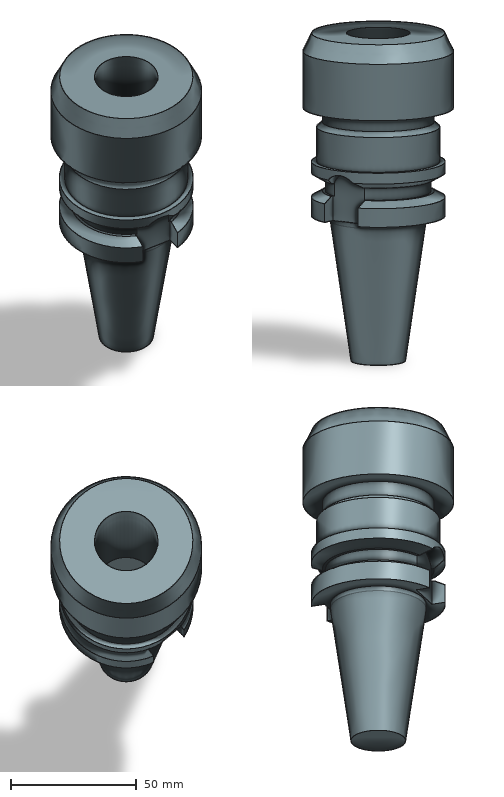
import cadquery as cq

total_height = 132.4
taper_top = 56.7
flange_bottom = 58.7
lower_rim_top = 66.2
groove_bottom = 68.6
groove_top = 73.6
upper_rim_bottom = 76.1
flange_top = 80.5
collar_chamfer_start = 94.5
collar_top = 96.5
nut_bottom = 102.3
nut_chamfer_start = 125.1

taper_small_radius = 10.9
taper_large_radius = 19.0
flange_radius = 26.6
groove_radius = 21.0
groove_mouth_radius = 22.2
collar_radius = 24.5
neck_radius = 22.2
nut_diameter = 60.0
nut_radius = nut_diameter / 2
nut_face_radius = 26.5

bore_radius = 12.6
bore_depth = 53.0

slot_width = 16.3
slot_floor_distance = 19.7
slot_arch_radius = slot_width / 2
slot_crown_height = 78.6


def turned_body():
    """Revolve the half profile, given as (radius, height) points, about Z."""
    profile = [
        (0, 0),
        (taper_small_radius, 0),
        (taper_large_radius, taper_top),
        (taper_large_radius, flange_bottom),
        (flange_radius, flange_bottom),
        (flange_radius, lower_rim_top),
        (groove_mouth_radius, groove_bottom),
        (groove_radius, groove_bottom),
        (groove_radius, groove_top),
        (groove_mouth_radius, groove_top),
        (flange_radius, upper_rim_bottom),
        (flange_radius, flange_top),
        (collar_radius, flange_top),
        (collar_radius, collar_chamfer_start),
        (neck_radius, collar_top),
        (neck_radius, nut_bottom),
        (nut_radius, nut_bottom),
        (nut_radius, nut_chamfer_start),
        (nut_face_radius, total_height),
        (0, total_height),
    ]
    return cq.Workplane("XZ").polyline(profile).close().revolve(360, (0, 0), (0, 1))


def drive_slot():
    """Arch-topped cutter on the +X side, open at the bottom of the flange."""
    arch_base = slot_crown_height - slot_arch_radius
    return (
        cq.Workplane("YZ", origin=(slot_floor_distance, 0, 0))
        .moveTo(-slot_arch_radius, flange_bottom)
        .lineTo(slot_arch_radius, flange_bottom)
        .lineTo(slot_arch_radius, arch_base)
        .threePointArc((0, slot_crown_height), (-slot_arch_radius, arch_base))
        .close()
        .extrude(flange_radius)
    )


def collet_bore():
    return (
        cq.Workplane("XY", origin=(0, 0, total_height - bore_depth))
        .circle(bore_radius)
        .extrude(bore_depth)
    )


result = turned_body().cut(collet_bore())
for slot_angle in (0, 180):
    result = result.cut(drive_slot().rotate((0, 0, 0), (0, 0, 1), slot_angle))